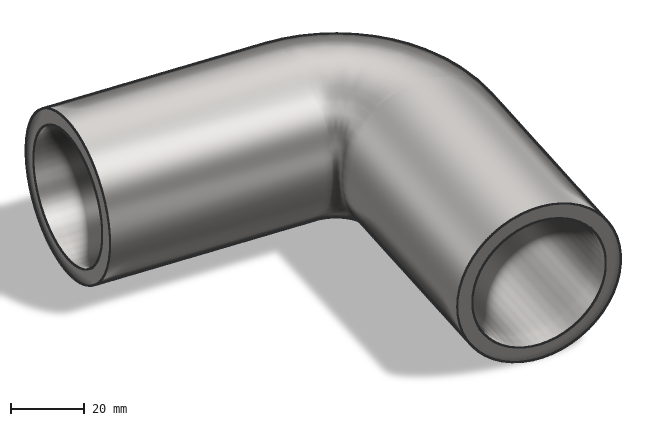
import cadquery as cq
import math

overall_length = 120.0
outer_diameter = 50.0
bore_diameter = 40.8
bend_radius = 27.0

leg_length = overall_length - outer_diameter / 2 - bend_radius

bend_middle = bend_radius * math.sqrt(0.5)


def pipe_centreline():
    """Leg along Y, quarter bend about the origin, then leg along X."""
    return (
        cq.Workplane("XY")
        .moveTo(-bend_radius, -leg_length)
        .lineTo(-bend_radius, 0)
        .threePointArc((-bend_middle, bend_middle), (0, bend_radius))
        .lineTo(leg_length, bend_radius)
    )


def swept_rod(diameter):
    """Solid round rod following the whole centreline."""
    return (
        cq.Workplane("XZ", origin=(-bend_radius, -leg_length, 0))
        .circle(diameter / 2)
        .sweep(pipe_centreline())
    )


result = swept_rod(outer_diameter).cut(swept_rod(bore_diameter))